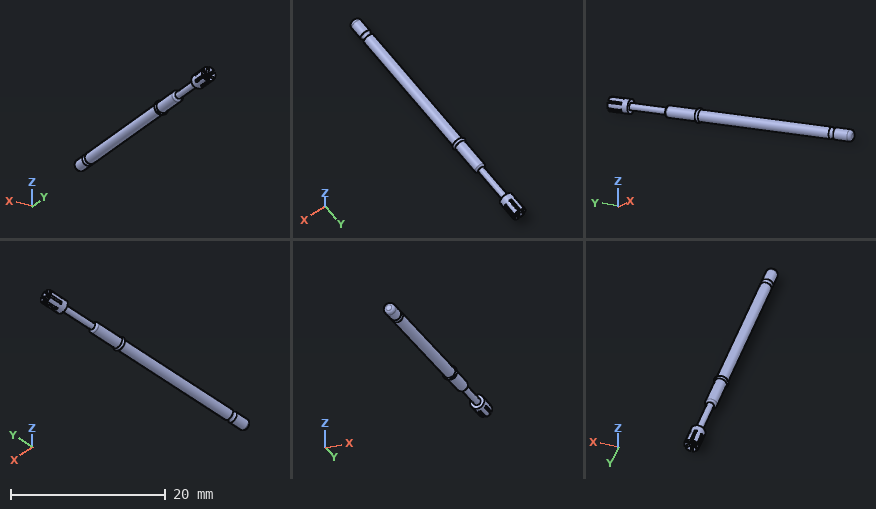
import cadquery as cq
import math

total_length = 35.7
head_diameter = 2.0
head_length = 2.95
head_cone_depth = 0.57
slot_length = 1.95
slot_width = 0.3
slot_count = 3
stem_diameter = 1.0
barrel_diameter = 1.65
barrel_top_from_tip = 8.3
ring_from_tip = 13.03
ring_bead_radius = 0.25
groove_from_tail = 2.5
groove_width = 0.68
groove_depth = 0.15
tail_round_radius = 0.5
tail_flat_diameter = 0.8

tail_end = -total_length / 2
head_tip = total_length / 2
head_base = head_tip - head_length
barrel_top = head_tip - barrel_top_from_tip
ring_center = head_tip - ring_from_tip
groove_bottom = tail_end + groove_from_tail
groove_middle = groove_bottom + groove_width / 2
groove_top = groove_bottom + groove_width

head_radius = head_diameter / 2
stem_radius = stem_diameter / 2
barrel_radius = barrel_diameter / 2
tail_flat_radius = tail_flat_diameter / 2

barrel_round_radius = barrel_radius - stem_radius

tail_arc_center = barrel_radius - tail_round_radius
tail_arc_sweep = math.acos((tail_flat_radius - tail_arc_center) / tail_round_radius)
tail_arc_start = tail_end + tail_round_radius * math.sin(tail_arc_sweep)


def arc_point(center_radius, center_y, arc_radius, angle):
    """Point (radius, y) on an arc; the angle in radians runs from outward (+X) towards +Y."""
    return (
        center_radius + arc_radius * math.cos(angle),
        center_y + arc_radius * math.sin(angle),
    )


def revolve_about_axis(profile):
    return profile.close().revolve(360, (0, 0, 0), (0, 1, 0))


def make_pin():
    """Tail, barrel, stem and head with its hollow cone tip, turned as one profile."""
    tail_arc_middle = arc_point(tail_arc_center, tail_arc_start, tail_round_radius, -tail_arc_sweep / 2)
    barrel_arc_start = barrel_top - barrel_round_radius
    barrel_arc_middle = arc_point(stem_radius, barrel_arc_start, barrel_round_radius, math.pi / 4)
    profile = (
        cq.Workplane("XY")
        .moveTo(0, tail_end)
        .lineTo(tail_flat_radius, tail_end)
        .threePointArc(tail_arc_middle, (barrel_radius, tail_arc_start))
        .lineTo(barrel_radius, groove_bottom)
        .threePointArc((barrel_radius - groove_depth, groove_middle), (barrel_radius, groove_top))
        .lineTo(barrel_radius, barrel_arc_start)
        .threePointArc(barrel_arc_middle, (stem_radius, barrel_top))
        .lineTo(stem_radius, head_base)
        .lineTo(head_radius, head_base)
        .lineTo(head_radius, head_tip)
        .lineTo(0, head_tip - head_cone_depth)
    )
    return revolve_about_axis(profile)


def make_ring():
    """Rounded bead around the barrel, as wide as the head."""
    bead_center = head_radius - ring_bead_radius
    profile = (
        cq.Workplane("XY")
        .moveTo(bead_center, ring_center - ring_bead_radius)
        .threePointArc((head_radius, ring_center), (bead_center, ring_center + ring_bead_radius))
    )
    return revolve_about_axis(profile)


def cut_head_slots(body):
    """Slots across the full head, evenly turned about Y, the first one upright."""
    for index in range(slot_count):
        slot = (
            cq.Workplane("XY")
            .box(slot_width, slot_length, 2 * head_diameter)
            .translate((0, head_tip - slot_length / 2, 0))
            .rotate((0, 0, 0), (0, 1, 0), index * 180 / slot_count)
        )
        body = body.cut(slot)
    return body


result = cut_head_slots(make_pin().union(make_ring()))